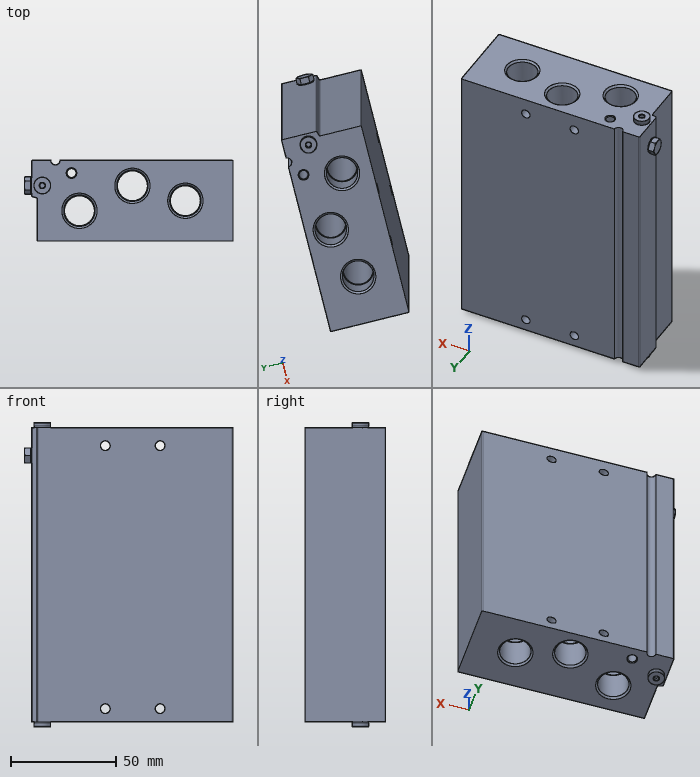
import cadquery as cq
import math

BLOCK_LENGTH = 95.7
BLOCK_DEPTH = 38.5
BLOCK_HEIGHT = 139.6
BLOCK_EDGE_RADIUS = 0.5

LEDGE_OVERHANG = 2.6
LEDGE_DEPTH = 17.2
LEDGE_SLOPE_ANGLE = 17

GROOVE_X = 11.3
GROOVE_RADIUS = 2.2

PORT_DIAMETER = 14.2
PORT_END_DIAMETER = 14.9
PORT_END_DEPTH = 17.3
PORT_MOUTH_DIAMETER = 16.8
PORT_FIRST_X = 22.7
PORT_PITCH = 25.1
PORT_CENTERS_Y = [-24.0, -12.1, -19.2]

PILOT_DIAMETER = 4.2
PILOT_MOUTH_DIAMETER = 5.0
PILOT_X = 19.0
PILOT_Y = -6.0

MOUNT_DIAMETER = 4.5
MOUNT_FIRST_X = 35.0
MOUNT_SPACING_X = 26
MOUNT_FIRST_Z = 6.2
MOUNT_SPACING_Z = 124.8

FITTING_Y = -12.0

OVERALL_HEIGHT = 144.5
PLUG_HEIGHT = (OVERALL_HEIGHT - BLOCK_HEIGHT) / 2
PLUG_DIAMETER = 8.0
PLUG_END_DIAMETER = 7.8
PLUG_CHAMFER_HEIGHT = 0.5
PLUG_COLLAR_HEIGHT = 0.5
PLUG_X = 5.0
SOCKET_DIAMETER = 2.5
SOCKET_MOUTH_DIAMETER = 3.0
SOCKET_DEPTH = 1.7

SCREW_HEAD_LENGTH = 3.5
SCREW_ACROSS_FLATS = 7.2
SCREW_CHAMFER_ANGLE = 30
SCREW_WASHER_THICKNESS = 0.5
SCREW_Z = 126.5


def chamfered_bore(x, y, diameter, mouth_diameter):
    """Cutter for an upright through hole with a 45 degree chamfer at both ends."""
    radius = diameter / 2
    mouth_radius = mouth_diameter / 2
    chamfer = mouth_radius - radius
    return (
        cq.Workplane("XZ")
        .polyline([
            (0, 0),
            (mouth_radius, 0),
            (radius, chamfer),
            (radius, BLOCK_HEIGHT - chamfer),
            (mouth_radius, BLOCK_HEIGHT),
            (0, BLOCK_HEIGHT),
        ])
        .close()
        .revolve(360, (0, 0, 0), (0, 1, 0))
        .translate((x, y, 0))
    )


def port_cutter(x, y):
    """Cutter for a port: a chamfered bore that narrows in the middle of the block."""
    bore = chamfered_bore(x, y, PORT_END_DIAMETER, PORT_MOUTH_DIAMETER)
    narrow_length = BLOCK_HEIGHT - 2 * PORT_END_DEPTH
    sleeve = (
        cq.Workplane("XY", origin=(x, y, PORT_END_DEPTH))
        .circle(PORT_MOUTH_DIAMETER / 2)
        .circle(PORT_DIAMETER / 2)
        .extrude(narrow_length)
    )
    return bore.cut(sleeve)


def make_blank():
    """Block outline with its ledge and rounded upright edges."""
    slope_drop = LEDGE_OVERHANG * math.tan(math.radians(LEDGE_SLOPE_ANGLE))
    return (
        cq.Workplane("XY")
        .polyline([
            (0, 0),
            (BLOCK_LENGTH, 0),
            (BLOCK_LENGTH, -BLOCK_DEPTH),
            (LEDGE_OVERHANG, -BLOCK_DEPTH),
            (LEDGE_OVERHANG, -LEDGE_DEPTH - slope_drop),
            (0, -LEDGE_DEPTH),
        ])
        .close()
        .extrude(BLOCK_HEIGHT)
        .edges("|Z")
        .fillet(BLOCK_EDGE_RADIUS)
    )


def make_block():
    block = make_blank()
    groove = cq.Workplane("XY").center(GROOVE_X, 0).circle(GROOVE_RADIUS).extrude(BLOCK_HEIGHT)
    block = block.cut(groove)

    for index, port_y in enumerate(PORT_CENTERS_Y):
        block = block.cut(port_cutter(PORT_FIRST_X + index * PORT_PITCH, port_y))

    block = block.cut(chamfered_bore(PILOT_X, PILOT_Y, PILOT_DIAMETER, PILOT_MOUTH_DIAMETER))

    mount_centers = [
        (MOUNT_FIRST_X + column * MOUNT_SPACING_X, MOUNT_FIRST_Z + row * MOUNT_SPACING_Z)
        for column in range(2)
        for row in range(2)
    ]
    mounts = cq.Workplane("XZ").pushPoints(mount_centers).circle(MOUNT_DIAMETER / 2).extrude(BLOCK_DEPTH)
    return block.cut(mounts)


def make_plug():
    """Upright plug with its seat at the origin and a countersunk round socket in its top."""
    end_radius = PLUG_END_DIAMETER / 2
    radius = PLUG_DIAMETER / 2
    socket_radius = SOCKET_DIAMETER / 2
    mouth_radius = SOCKET_MOUTH_DIAMETER / 2
    socket_floor = PLUG_HEIGHT - SOCKET_DEPTH
    return (
        cq.Workplane("XZ")
        .polyline([
            (0, 0),
            (end_radius, 0),
            (end_radius, PLUG_COLLAR_HEIGHT),
            (radius, PLUG_COLLAR_HEIGHT + PLUG_CHAMFER_HEIGHT),
            (radius, PLUG_HEIGHT - PLUG_CHAMFER_HEIGHT),
            (end_radius, PLUG_HEIGHT),
            (mouth_radius, PLUG_HEIGHT),
            (socket_radius, PLUG_HEIGHT - (mouth_radius - socket_radius)),
            (socket_radius, socket_floor),
            (0, socket_floor),
        ])
        .close()
        .revolve(360, (0, 0, 0), (0, 1, 0))
    )


def make_screw():
    """Hexagon head on a round washer face, its outer corners trimmed by a cone."""
    end_radius = SCREW_ACROSS_FLATS / 2
    corner_radius = end_radius / math.cos(math.pi / 6)
    chamfer = (corner_radius - end_radius) * math.tan(math.radians(SCREW_CHAMFER_ANGLE))
    hexagon = cq.Workplane("YZ").polygon(6, 2 * corner_radius).extrude(-SCREW_HEAD_LENGTH)
    envelope = (
        cq.Workplane("XY")
        .polyline([
            (0, 0),
            (0, end_radius),
            (-SCREW_WASHER_THICKNESS, end_radius),
            (-SCREW_WASHER_THICKNESS, corner_radius),
            (chamfer - SCREW_HEAD_LENGTH, corner_radius),
            (-SCREW_HEAD_LENGTH, end_radius),
            (-SCREW_HEAD_LENGTH, 0),
        ])
        .close()
        .revolve(360, (0, 0, 0), (1, 0, 0))
    )
    return hexagon.intersect(envelope).translate((0, FITTING_Y, SCREW_Z))


block = make_block()
screw = make_screw()

plugs = []
for seat_z, turn in [(BLOCK_HEIGHT, 0), (0, 180)]:
    plug = make_plug().rotate((0, 0, 0), (1, 0, 0), turn)
    plugs.append(plug.translate((PLUG_X, FITTING_Y, seat_z)))

result = cq.Compound.makeCompound([block.val(), *[plug.val() for plug in plugs], screw.val()])